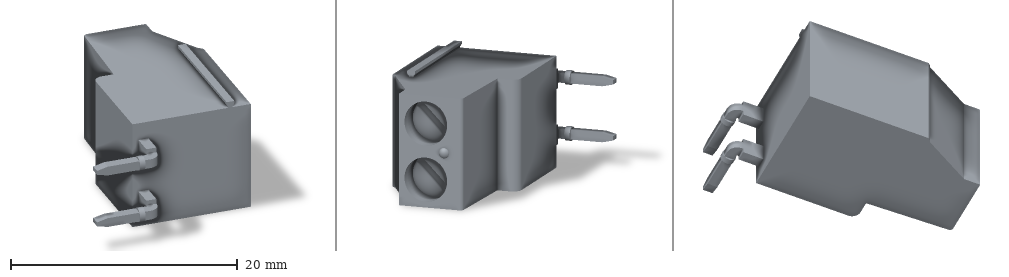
import cadquery as cq
import math

BODY_LENGTH = 18.0
BODY_DEPTH = 11.18
BODY_HEIGHT = 10.15
NOSE_BACK_Y = 8.19
NOSE_FRONT_Y = 2.26
NOSE_TAPER = 2.0
STEP_X = 8.2
STEP_RADIUS = 0.82
NOSE_RADIUS = 0.32
SLOPE_START_X = 1.57
SLOPE_ANGLE = 30.0
SLOPE_END_X = 6.12
SHOULDER_END_X = 6.42
SHOULDER_BULGE = 0.05

RIB_START_X = 6.0
RIB_CENTER_Y = 9.27
RIB_WIDTH = 0.73
RIB_FOOT_WIDTH = 0.43
RIB_HEIGHT = 0.58
RIB_LIP = 0.25
RIB_FOOT = 0.13

POLE_PITCH = 5.09
POLE_HEIGHTS = [BODY_HEIGHT / 2 + side * POLE_PITCH / 2 for side in (-1, 1)]

SCREW_Y = 5.69
OPENING_DIAMETER = 4.0
SCREW_DIAMETER = 3.84
OPENING_DEPTH = 1.9
SLOT_WIDTH = 0.71
SLOT_DEPTH = 0.43
SLOT_ANGLE = 45.0

PIP_Y = 3.99
PIP_DIAMETER = 0.95
PIP_HEIGHT = 0.3

PIN_WIDTH = 0.95
PIN_THICKNESS = 0.86
PIN_Y = 1.03
PIN_X = 20.6
PIN_BEND_RADIUS = 0.05
PIN_LENGTH = 4.53
TIP_LENGTH = 1.01
TIP_THICKNESS = 0.39
SLEEVE_LENGTH = 1.96
SLEEVE_HEIGHT = 1.79
COLLAR_DIAMETER = 1.3
COLLAR_THICKNESS = 0.52


def make_housing():
    slope_end_y = NOSE_BACK_Y + (SLOPE_END_X - SLOPE_START_X) * math.tan(math.radians(SLOPE_ANGLE))
    step_y = NOSE_FRONT_Y - STEP_X * math.tan(math.radians(NOSE_TAPER))
    run = SHOULDER_END_X - SLOPE_END_X
    rise = BODY_DEPTH - slope_end_y
    chord = math.hypot(run, rise)
    shoulder_mid = (
        SLOPE_END_X + run / 2 - SHOULDER_BULGE * rise / chord,
        slope_end_y + rise / 2 + SHOULDER_BULGE * run / chord,
    )
    housing = (
        cq.Workplane("XY")
        .moveTo(0, NOSE_FRONT_Y)
        .lineTo(STEP_X, step_y)
        .lineTo(STEP_X, 0)
        .lineTo(BODY_LENGTH, 0)
        .lineTo(BODY_LENGTH, BODY_DEPTH)
        .lineTo(SHOULDER_END_X, BODY_DEPTH)
        .threePointArc(shoulder_mid, (SLOPE_END_X, slope_end_y))
        .lineTo(SLOPE_START_X, NOSE_BACK_Y)
        .lineTo(0, NOSE_BACK_Y)
        .close()
        .extrude(BODY_HEIGHT)
    )
    middle = BODY_HEIGHT / 2
    housing = housing.edges(cq.NearestToPointSelector((0, NOSE_FRONT_Y, middle))).fillet(NOSE_RADIUS)
    return housing.edges(cq.NearestToPointSelector((STEP_X, 0, middle))).fillet(STEP_RADIUS)


def make_rib():
    lip_z = RIB_HEIGHT - RIB_LIP
    return (
        cq.Workplane("YZ", origin=(RIB_START_X, RIB_CENTER_Y, BODY_HEIGHT))
        .moveTo(-RIB_FOOT_WIDTH / 2, 0)
        .lineTo(RIB_FOOT_WIDTH / 2, 0)
        .lineTo(RIB_FOOT_WIDTH / 2, RIB_FOOT)
        .lineTo(RIB_WIDTH / 2, lip_z)
        .lineTo(RIB_WIDTH / 2, RIB_HEIGHT)
        .lineTo(-RIB_WIDTH / 2, RIB_HEIGHT)
        .lineTo(-RIB_WIDTH / 2, lip_z)
        .lineTo(-RIB_FOOT_WIDTH / 2, RIB_FOOT)
        .close()
        .extrude(BODY_LENGTH - RIB_START_X)
    )


def make_screw_opening(z):
    """Round opening down to a slotted screw head, with a narrow gap around the head."""
    opening = (
        cq.Workplane("YZ", origin=(0, SCREW_Y, z))
        .circle(OPENING_DIAMETER / 2)
        .extrude(OPENING_DEPTH + SLOT_DEPTH)
    )
    head_plane = cq.Workplane("YZ", origin=(OPENING_DEPTH, SCREW_Y, z))
    head = head_plane.circle(SCREW_DIAMETER / 2).extrude(SLOT_DEPTH)
    slot = (
        head_plane.transformed(rotate=(0, 0, SLOT_ANGLE))
        .rect(OPENING_DIAMETER, SLOT_WIDTH)
        .extrude(SLOT_DEPTH)
    )
    return opening.cut(head.cut(slot))


def make_pip():
    base_radius = PIP_DIAMETER / 2
    sphere_radius = (base_radius**2 + PIP_HEIGHT**2) / (2 * PIP_HEIGHT)
    center_x = sphere_radius - PIP_HEIGHT
    return cq.Workplane("XY").sphere(sphere_radius).translate((center_x, PIP_Y, BODY_HEIGHT / 2))


def make_pin(z):
    half_width = PIN_WIDTH / 2
    half_thickness = PIN_THICKNESS / 2
    inner_x = PIN_X - half_width
    outer_x = PIN_X + half_width
    lower_y = PIN_Y - half_width
    upper_y = PIN_Y + half_width
    outer_radius = PIN_BEND_RADIUS + PIN_WIDTH
    bend_x = inner_x - PIN_BEND_RADIUS
    bend_y = lower_y - PIN_BEND_RADIUS
    diagonal = math.sqrt(0.5)
    bent_bar = (
        cq.Workplane("XY", origin=(0, 0, z - half_thickness))
        .moveTo(BODY_LENGTH, lower_y)
        .lineTo(bend_x, lower_y)
        .threePointArc(
            (bend_x + PIN_BEND_RADIUS * diagonal, bend_y + PIN_BEND_RADIUS * diagonal),
            (inner_x, bend_y),
        )
        .lineTo(inner_x, -PIN_LENGTH)
        .lineTo(outer_x, -PIN_LENGTH)
        .lineTo(outer_x, bend_y)
        .threePointArc(
            (bend_x + outer_radius * diagonal, bend_y + outer_radius * diagonal),
            (bend_x, upper_y),
        )
        .lineTo(BODY_LENGTH, upper_y)
        .close()
        .extrude(PIN_THICKNESS)
    )
    tip_envelope = (
        cq.Workplane("YZ", origin=(BODY_LENGTH, 0, z))
        .moveTo(upper_y, half_thickness)
        .lineTo(TIP_LENGTH - PIN_LENGTH, half_thickness)
        .lineTo(-PIN_LENGTH, TIP_THICKNESS / 2)
        .lineTo(-PIN_LENGTH, -TIP_THICKNESS / 2)
        .lineTo(TIP_LENGTH - PIN_LENGTH, -half_thickness)
        .lineTo(upper_y, -half_thickness)
        .close()
        .extrude(outer_x - BODY_LENGTH)
    )
    sleeve = cq.Workplane("XY").box(SLEEVE_LENGTH, PIN_WIDTH, SLEEVE_HEIGHT, centered=(False, True, True))
    collar = cq.Workplane("XZ", origin=(PIN_X, 0, z)).circle(COLLAR_DIAMETER / 2).extrude(COLLAR_THICKNESS)
    return bent_bar.intersect(tip_envelope).union(sleeve.translate((BODY_LENGTH, PIN_Y, z))).union(collar)


result = make_housing().union(make_rib()).union(make_pip())
for pole_z in POLE_HEIGHTS:
    result = result.cut(make_screw_opening(pole_z)).union(make_pin(pole_z))